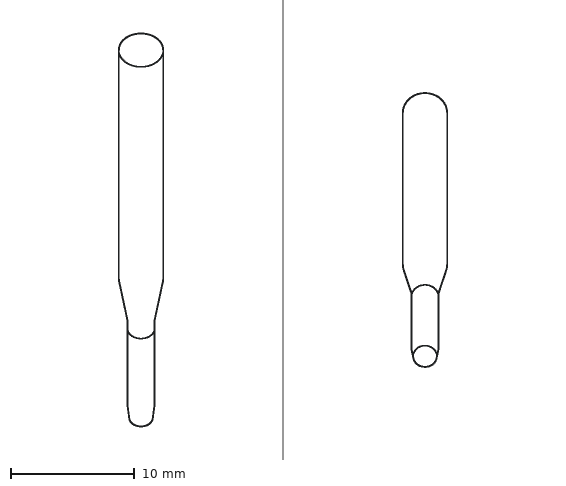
import cadquery as cq

total_length = 47.95
shank_radius = 1.8
stem_radius = 1.1
tip_radius = 0.95

tip_cone_top = 1.1
tip_taper_top = 2.7
joint_height = 12.05
shank_taper_bottom = 13.1
shank_bottom = 18.1
shank_top = 46.1


def turned_body(profile):
    """Revolve a closed (radius, height) profile about the Z axis."""
    return cq.Workplane("XZ").polyline(profile).close().revolve(360, (0, 0, 0), (0, 1, 0))


holder = turned_body([
    (0, joint_height),
    (stem_radius, joint_height),
    (stem_radius, shank_taper_bottom),
    (shank_radius, shank_bottom),
    (shank_radius, shank_top),
    (0, total_length),
])

pin = turned_body([
    (0, 0),
    (tip_radius, tip_cone_top),
    (stem_radius, tip_taper_top),
    (stem_radius, joint_height),
    (0, joint_height),
])

result = cq.Compound.makeCompound([holder.val(), pin.val()])